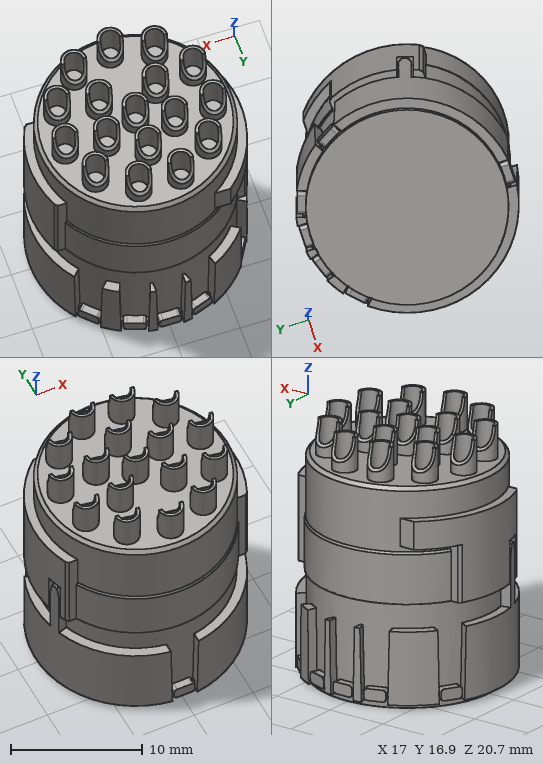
import cadquery as cq
import math

FLANGE_BOTTOM = 0.5
FLANGE_TOP = 6.5
RING_BOTTOM = 8.5
RING_TOP = 12.55
RING_CONE_TOP = 12.75
BLOCK_TOP = 15.5
ARM_BOTTOM = 13.2
BODY_TOP = 18.0
PIN_TOP = 20.7

LOWER_RADIUS = 7.72
UPPER_RADIUS = 7.75
RING_RADIUS = 7.85
OUTER_RADIUS = 8.5
TOP_CHAMFER = 0.3

BLOCK_END_Y = 3.75
LEFT_ARM_END_Y = 6.55
BLOCK_BEVEL = 0.12

PIN_RADIUS = 1.0
CUP_BORE_RADIUS = 0.75
CUP_LIP_Z = 18.8
OUTER_PIN_COUNT = 11
OUTER_CIRCLE_RADIUS = 6.0
OUTER_PITCH = 360 / OUTER_PIN_COUNT
OUTER_START_ANGLE = -90.0
INNER_PIN_COUNT = 5
INNER_CIRCLE_RADIUS = 3.0
INNER_PITCH = 2 * OUTER_PITCH
INNER_START_ANGLE = 90.0 - 2 * INNER_PITCH

SLOT_ANGLES = (-90.0, 46.0, 71.0, 90.0, 109.0, 150.0)
SLOT_TOP_WIDTH = 2.35
SLOT_BOTTOM_WIDTH = 2.1
LATCH_Z = 1.15
LATCH_WIDTH = 1.75
LATCH_HEIGHT = 0.96
LATCH_RADIUS = 8.38
LATCH_CORNER = 0.25
WEB_HEIGHT = 0.3
WEB_RADIUS = 7.95

RIB_ANGLE = 197.0
RIB_WIDTH = 0.97
RIB_TIP_WIDTH = 0.5
RIB_SHOULDER_Z = 10.6
RIB_TIP_Z = 11.6
POCKET_WIDTH = 1.27
POCKET_TOP = 12.0

EMBED = 0.5
MARGIN = 1.0


def cylinder(radius, bottom, top):
    return cq.Workplane("XY").workplane(offset=bottom).circle(radius).extrude(top - bottom)


def box_between(x_range, y_range, z_range):
    sizes = [high - low for low, high in (x_range, y_range, z_range)]
    corner = (x_range[0], y_range[0], z_range[0])
    return cq.Workplane("XY").box(*sizes, centered=False).translate(corner)


def turn(shape, angle):
    """Rotate a shape modelled on the +X side to the given angle about Z."""
    return shape.rotate((0, 0, 0), (0, 0, 1), angle)


def body():
    profile = [
        (0, 0),
        (LOWER_RADIUS, 0),
        (LOWER_RADIUS, RING_BOTTOM),
        (RING_RADIUS, RING_BOTTOM),
        (RING_RADIUS, RING_TOP),
        (UPPER_RADIUS, RING_CONE_TOP),
        (UPPER_RADIUS, BODY_TOP - TOP_CHAMFER),
        (UPPER_RADIUS - TOP_CHAMFER, BODY_TOP),
        (0, BODY_TOP),
    ]
    return cq.Workplane("XZ").polyline(profile).close().revolve(360, (0, 0), (0, 1))


def side_shell(bottom, top):
    """Ring-shaped stock between the body and the outer radius."""
    core = cylinder(UPPER_RADIUS - EMBED, bottom, top)
    return cylinder(OUTER_RADIUS, bottom, top).cut(core)


def block_outline(height):
    """Region on the +X side between the two end planes, narrowed at the outer corners."""
    corner_x = math.sqrt(OUTER_RADIUS**2 - BLOCK_END_Y**2)
    reach = OUTER_RADIUS + MARGIN
    bevel_start = corner_x - BLOCK_BEVEL
    bevel_run = reach - bevel_start
    inner_y = BLOCK_END_Y
    outer_y = BLOCK_END_Y - bevel_run
    points = [
        (0, -inner_y),
        (bevel_start, -inner_y),
        (reach, -outer_y),
        (reach, outer_y),
        (bevel_start, inner_y),
        (0, inner_y),
    ]
    return cq.Workplane("XY").polyline(points).close().extrude(height)


def guide_block(angle):
    shell = side_shell(RING_BOTTOM, BLOCK_TOP)
    outline = block_outline(BLOCK_TOP)
    return shell.intersect(turn(outline, angle))


def left_arm():
    region = box_between((-OUTER_RADIUS, 0), (0, LEFT_ARM_END_Y), (ARM_BOTTOM, BLOCK_TOP))
    return side_shell(ARM_BOTTOM, BLOCK_TOP).intersect(region)


def pocket():
    half = POCKET_WIDTH / 2
    cut = box_between((RING_RADIUS, OUTER_RADIUS + MARGIN), (-half, half), (RING_BOTTOM, POCKET_TOP))
    return turn(cut, RIB_ANGLE)


def pointer_rib():
    half = RIB_WIDTH / 2
    tip_half = RIB_TIP_WIDTH / 2
    points = [
        (-half, FLANGE_TOP - EMBED),
        (half, FLANGE_TOP - EMBED),
        (half, RIB_SHOULDER_Z),
        (tip_half, RIB_TIP_Z),
        (-tip_half, RIB_TIP_Z),
        (-half, RIB_SHOULDER_Z),
    ]
    start = LOWER_RADIUS - EMBED
    outline = cq.Workplane("YZ").workplane(offset=start).polyline(points).close()
    blade = outline.extrude(OUTER_RADIUS - start)
    return turn(blade, RIB_ANGLE).intersect(cylinder(OUTER_RADIUS, 0, BODY_TOP))


def slot(angle):
    top_half = SLOT_TOP_WIDTH / 2
    bottom_half = SLOT_BOTTOM_WIDTH / 2
    points = [
        (-bottom_half, FLANGE_BOTTOM),
        (bottom_half, FLANGE_BOTTOM),
        (top_half, FLANGE_TOP),
        (-top_half, FLANGE_TOP),
    ]
    wedge = cq.Workplane("YZ").polyline(points).close().extrude(OUTER_RADIUS + MARGIN)
    return turn(wedge, angle)


def slotted_flange():
    flange = cylinder(OUTER_RADIUS, FLANGE_BOTTOM, FLANGE_TOP)
    flange = flange.cut(cylinder(LOWER_RADIUS - EMBED, FLANGE_BOTTOM, FLANGE_TOP))
    for angle in SLOT_ANGLES:
        flange = flange.cut(slot(angle))
    return flange


def latch(angle):
    start = LOWER_RADIUS - EMBED
    plane = cq.Workplane("YZ", origin=(start, 0, LATCH_Z))
    bump = plane.rect(LATCH_WIDTH, LATCH_HEIGHT).extrude(LATCH_RADIUS - start)
    bump = bump.edges("|X").fillet(LATCH_CORNER)
    web = plane.rect(SLOT_TOP_WIDTH, WEB_HEIGHT).extrude(WEB_RADIUS - start)
    return turn(bump.union(web), angle)


def solder_cup():
    """Pin with a blind bore, opened towards +Y by a concave sweep."""
    pin = cylinder(PIN_RADIUS, BODY_TOP - EMBED, PIN_TOP)
    pin = pin.cut(cylinder(CUP_BORE_RADIUS, BODY_TOP, PIN_TOP))
    drop = PIN_TOP - CUP_LIP_Z
    sweep_radius = (PIN_RADIUS**2 + drop**2) / (2 * PIN_RADIUS)
    sweep = cq.Workplane("YZ").center(sweep_radius, PIN_TOP).circle(sweep_radius)
    return pin.cut(sweep.extrude(PIN_RADIUS + MARGIN, both=True))


def arc_points(count, radius, start_angle, pitch):
    angles = [math.radians(start_angle + pitch * i) for i in range(count)]
    return [(radius * math.cos(a), radius * math.sin(a)) for a in angles]


def pin_positions():
    inner = arc_points(INNER_PIN_COUNT, INNER_CIRCLE_RADIUS, INNER_START_ANGLE, INNER_PITCH)
    outer = arc_points(OUTER_PIN_COUNT, OUTER_CIRCLE_RADIUS, OUTER_START_ANGLE, OUTER_PITCH)
    return [(0, 0)] + inner + outer


result = body().union(slotted_flange())
for slot_angle in SLOT_ANGLES:
    result = result.union(latch(slot_angle))
for side_angle in (0, 180):
    result = result.union(guide_block(side_angle))
result = result.union(left_arm())
result = result.cut(pocket()).union(pointer_rib())
cup = solder_cup()
for x, y in pin_positions():
    result = result.union(cup.translate((x, y, 0)))